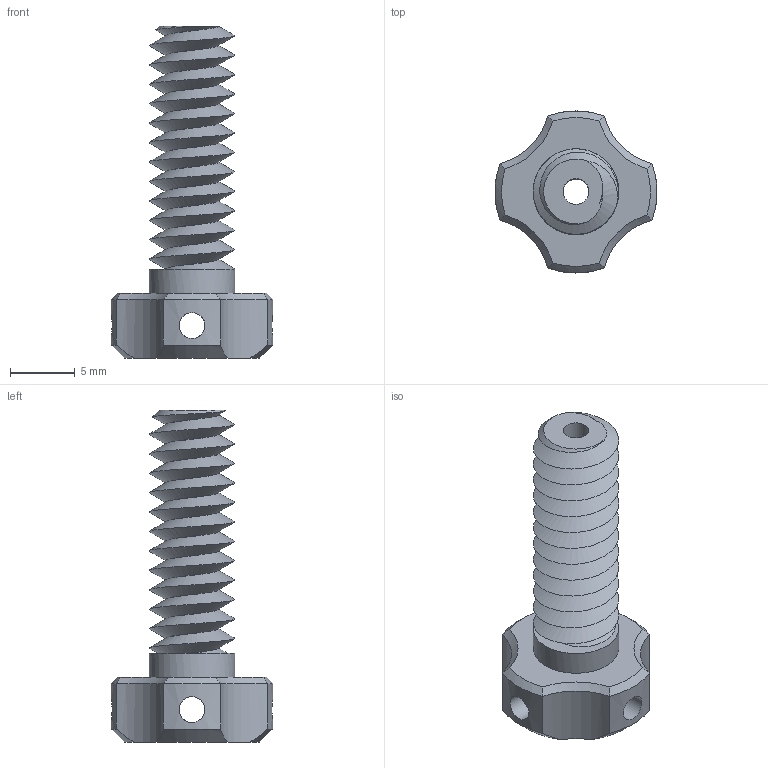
import cadquery as cq
import math

HEAD_DIAMETER = 12.5
HEAD_HEIGHT = 5.0
LOBE_COUNT = 4
LOBE_WIDTH = 4.4
SCALLOP_RADIUS = 5.0
TOP_CHAMFER = 0.5
BOTTOM_CHAMFER = 1.0

TOTAL_HEIGHT = 25.62
MAJOR_DIAMETER = 6.6
PITCH = 1.5
THREAD_ANGLE = 60.0
ROOT_FLAT = 0.03
RIDGE_EMBED = 0.2
END_FACE_DIAMETER = 5.0
COLLAR_HEIGHT = 1.85
CREST_RISE = 0.02

BORE_DIAMETER = 2.0
CROSS_HOLE_DIAMETER = 2.0

HEAD_RADIUS = HEAD_DIAMETER / 2
MAJOR_RADIUS = MAJOR_DIAMETER / 2
THREAD_START = HEAD_HEIGHT + COLLAR_HEIGHT
THREAD_LENGTH = TOTAL_HEIGHT - THREAD_START
RIDGE_HALF_WIDTH = (PITCH - ROOT_FLAT) / 2
ROOT_RADIUS = MAJOR_RADIUS - RIDGE_HALF_WIDTH / math.tan(math.radians(THREAD_ANGLE / 2))
CROSS_HOLE_HEIGHT = HEAD_HEIGHT / 2


def cylinder(radius, height, base=0.0):
    return cq.Workplane("XY").workplane(offset=base).circle(radius).extrude(height)


def make_head():
    head = cylinder(HEAD_RADIUS, HEAD_HEIGHT).faces("<Z").chamfer(BOTTOM_CHAMFER)
    lobe_half_angle = math.asin(LOBE_WIDTH / 2 / HEAD_RADIUS)
    scallop_half_angle = math.pi / LOBE_COUNT - lobe_half_angle
    half_chord = HEAD_RADIUS * math.sin(scallop_half_angle)
    chord_distance = HEAD_RADIUS * math.cos(scallop_half_angle)
    scallop_distance = chord_distance + math.sqrt(SCALLOP_RADIUS**2 - half_chord**2)
    scallops = (
        cq.Workplane("XY")
        .polarArray(scallop_distance, 180 / LOBE_COUNT, 360, LOBE_COUNT)
        .circle(SCALLOP_RADIUS)
        .extrude(HEAD_HEIGHT)
    )
    return head.cut(scallops).faces(">Z").chamfer(TOP_CHAMFER)


def make_thread_ridge():
    helix = cq.Wire.makeHelix(PITCH, THREAD_LENGTH + 2 * PITCH, ROOT_RADIUS)
    inner_radius = ROOT_RADIUS - RIDGE_EMBED
    profile = cq.Workplane("XZ").polyline(
        [
            (inner_radius, -RIDGE_HALF_WIDTH),
            (ROOT_RADIUS, -RIDGE_HALF_WIDTH),
            (MAJOR_RADIUS, 0),
            (ROOT_RADIUS, RIDGE_HALF_WIDTH),
            (inner_radius, RIDGE_HALF_WIDTH),
        ]
    ).close()
    ridge = profile.sweep(cq.Workplane(obj=helix), isFrenet=True)
    return ridge.translate((0, 0, THREAD_START + CREST_RISE - PITCH))


def make_thread():
    tip_chamfer = MAJOR_RADIUS - END_FACE_DIAMETER / 2
    slack = PITCH / 2
    envelope = (
        cylinder(MAJOR_RADIUS + slack, THREAD_LENGTH, THREAD_START)
        .faces(">Z")
        .chamfer(tip_chamfer + slack)
    )
    core = cylinder(ROOT_RADIUS, THREAD_LENGTH, THREAD_START)
    return make_thread_ridge().intersect(envelope).union(core)


def make_cross_holes():
    through_x = cq.Workplane("YZ").center(0, CROSS_HOLE_HEIGHT)
    through_x = through_x.circle(CROSS_HOLE_DIAMETER / 2).extrude(HEAD_RADIUS, both=True)
    return through_x.union(through_x.rotate((0, 0, 0), (0, 0, 1), 90))


collar = cylinder(MAJOR_RADIUS, COLLAR_HEIGHT, HEAD_HEIGHT)
bore = cylinder(BORE_DIAMETER / 2, TOTAL_HEIGHT)
result = make_head().union(collar).union(make_thread()).cut(bore).cut(make_cross_holes())